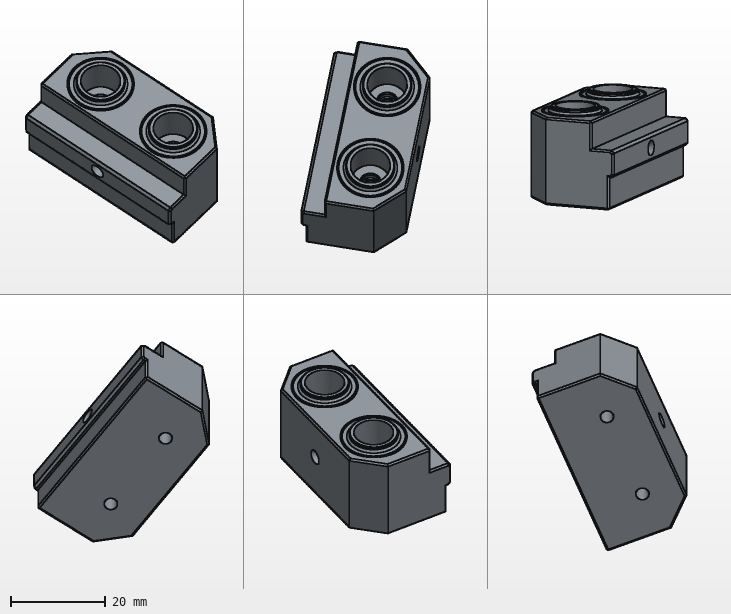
import cadquery as cq
LENGTH = 40.0
DEPTH = 21.75
TOTAL_HEIGHT = 20.0
COLLAR_HEIGHT = 1.1
BLOCK_HEIGHT = TOTAL_HEIGHT - COLLAR_HEIGHT
CORNER_CUT = 6.0
EDGE_CHAMFER = 0.4

LEDGE_MIDDLE_Z = 10.0
LEDGE_THICKNESS = 5.9
LEDGE_TOP = LEDGE_MIDDLE_Z + LEDGE_THICKNESS / 2
LEDGE_BOTTOM = LEDGE_MIDDLE_Z - LEDGE_THICKNESS / 2
UPPER_FACE_Y = 5.1
LOWER_FACE_Y = 1.1
LEDGE_CHAMFER = 0.6
CROSS_HOLE_DIAMETER = 3.2

BUSHING_SPACING = 20.0
BUSHING_Y = 13.25
BUSHING_POINTS = [(side * BUSHING_SPACING / 2, BUSHING_Y) for side in (-1, 1)]
SEAT_DIAMETER = 14.0
SEAT_TAPER_WIDTH = 0.1
SEAT_DEPTH = 8.0
SEAT_FLOOR_Z = BLOCK_HEIGHT - SEAT_DEPTH
BUSHING_DIAMETER = SEAT_DIAMETER
BUSHING_CHAMFER = 0.3
SEAT_TAPER_DEPTH = BUSHING_CHAMFER
COLLAR_DIAMETER = 10.45
COLLAR_CHAMFER = 0.2
COLLAR_CONE_HEIGHT = 0.5
BORE_DIAMETER = 8.45
BUSHING_FLOOR_THICKNESS = 1.6

BUSHING_HOLE_DIAMETER = 4.1
BUSHING_HOLE_TAPER_WIDTH = 0.2
BUSHING_HOLE_TAPER_DEPTH = 0.4
BLOCK_HOLE_DIAMETER = 2.8
BLOCK_HOLE_MOUTH_DIAMETER = 3.2


def make_blank():
    """Stepped section extruded along X, with the rear corners cut and the edges chamfered."""
    section = [
        (LOWER_FACE_Y, 0),
        (DEPTH, 0),
        (DEPTH, BLOCK_HEIGHT),
        (UPPER_FACE_Y, BLOCK_HEIGHT),
        (UPPER_FACE_Y, LEDGE_TOP),
        (0, LEDGE_TOP),
        (0, LEDGE_BOTTOM),
        (LOWER_FACE_Y, LEDGE_BOTTOM),
    ]
    blank = cq.Workplane("YZ").polyline(section).close().extrude(LENGTH / 2, both=True)
    blank = blank.edges("|Z and >Y").chamfer(CORNER_CUT)
    blank = blank.faces("<Y").edges("|X").chamfer(LEDGE_CHAMFER)
    for end_face in ("<X", ">X"):
        blank = blank.faces(end_face).edges("not >Y").chamfer(EDGE_CHAMFER)
    return blank.faces("<Z or >Z").edges("not |Y").chamfer(EDGE_CHAMFER)


def revolve_about_z(profile, point):
    """Turn a closed (radius, z) profile about the vertical axis through an (x, y) point."""
    turned = cq.Workplane("XZ").polyline(profile).close().revolve(360, (0, 0), (0, 1))
    return turned.translate((*point, 0))


def make_seat(point):
    """Cutter for one bushing seat, its tapered mouth and the chamfered screw hole below it."""
    chamfer_depth = (BLOCK_HOLE_MOUTH_DIAMETER - BLOCK_HOLE_DIAMETER) / 2
    profile = [
        (0, 0),
        (BLOCK_HOLE_DIAMETER / 2, 0),
        (BLOCK_HOLE_DIAMETER / 2, SEAT_FLOOR_Z - chamfer_depth),
        (BLOCK_HOLE_MOUTH_DIAMETER / 2, SEAT_FLOOR_Z),
        (SEAT_DIAMETER / 2, SEAT_FLOOR_Z),
        (SEAT_DIAMETER / 2, BLOCK_HEIGHT - SEAT_TAPER_DEPTH),
        (SEAT_DIAMETER / 2 + SEAT_TAPER_WIDTH, BLOCK_HEIGHT),
        (0, BLOCK_HEIGHT),
    ]
    return revolve_about_z(profile, point)


def make_block():
    """Housing block with a cross hole through the ledge and one seat per bushing."""
    cross_hole = (
        cq.Workplane("XZ")
        .center(0, LEDGE_MIDDLE_Z)
        .circle(CROSS_HOLE_DIAMETER / 2)
        .extrude(-DEPTH)
    )
    block = make_blank().cut(cross_hole)
    for point in BUSHING_POINTS:
        block = block.cut(make_seat(point))
    return block


def make_bushing(point):
    """Cup with a chamfered shoulder level with the block and a coned collar above it."""
    outer_radius = BUSHING_DIAMETER / 2
    collar_radius = COLLAR_DIAMETER / 2
    bore_radius = BORE_DIAMETER / 2
    hole_radius = BUSHING_HOLE_DIAMETER / 2
    floor_top = SEAT_FLOOR_Z + BUSHING_FLOOR_THICKNESS
    profile = [
        (hole_radius, SEAT_FLOOR_Z),
        (outer_radius, SEAT_FLOOR_Z),
        (outer_radius, BLOCK_HEIGHT - BUSHING_CHAMFER),
        (outer_radius - BUSHING_CHAMFER, BLOCK_HEIGHT),
        (collar_radius + COLLAR_CONE_HEIGHT, BLOCK_HEIGHT),
        (collar_radius, BLOCK_HEIGHT + COLLAR_CONE_HEIGHT),
        (collar_radius, TOTAL_HEIGHT - COLLAR_CHAMFER),
        (collar_radius - COLLAR_CHAMFER, TOTAL_HEIGHT),
        (bore_radius, TOTAL_HEIGHT),
        (bore_radius, floor_top),
        (hole_radius + BUSHING_HOLE_TAPER_WIDTH, floor_top),
        (hole_radius, floor_top - BUSHING_HOLE_TAPER_DEPTH),
    ]
    return revolve_about_z(profile, point)


block = make_block()
bushings = [make_bushing(point) for point in BUSHING_POINTS]
result = cq.Compound.makeCompound([block.val(), *(bushing.val() for bushing in bushings)])